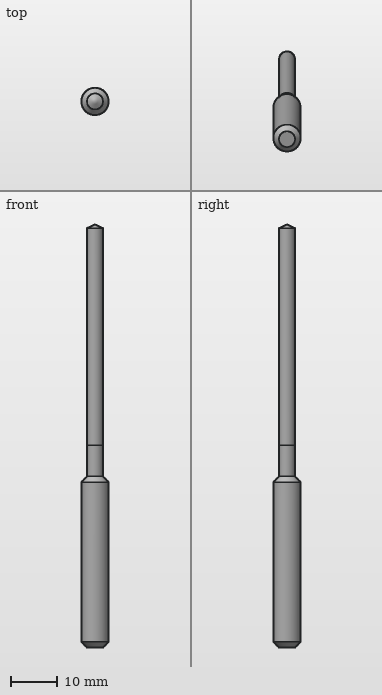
import cadquery as cq

TOTAL_LENGTH = 92.0
HANDLE_DIAMETER = 6.0
ROD_DIAMETER = 3.5

SHOULDER_BASE = 36.0
NECK_TOP = 44.0
TIP_HEIGHT = 0.8

HANDLE_RADIUS = HANDLE_DIAMETER / 2
ROD_RADIUS = ROD_DIAMETER / 2

TAPER = HANDLE_RADIUS - ROD_RADIUS
SHOULDER_TOP = SHOULDER_BASE + TAPER
TIP_BASE = TOTAL_LENGTH - TIP_HEIGHT


def revolve_profile(points):
    """Turn a closed (radius, height) outline around the Z axis."""
    outline = cq.Workplane("XZ").polyline(points).close()
    return outline.revolve(360, (0, 0, 0), (0, 1, 0))


def make_handle():
    """Round handle with tapered ends and a slim neck on top."""
    return revolve_profile([
        (0, 0),
        (ROD_RADIUS, 0),
        (HANDLE_RADIUS, TAPER),
        (HANDLE_RADIUS, SHOULDER_BASE),
        (ROD_RADIUS, SHOULDER_TOP),
        (ROD_RADIUS, NECK_TOP),
        (0, NECK_TOP),
    ])


def make_rod():
    """Straight rod standing on the neck, with a shallow conical tip."""
    return revolve_profile([
        (0, NECK_TOP),
        (ROD_RADIUS, NECK_TOP),
        (ROD_RADIUS, TIP_BASE),
        (0, TOTAL_LENGTH),
    ])


handle = make_handle()
rod = make_rod()

result = cq.Compound.makeCompound([handle.val(), rod.val()])